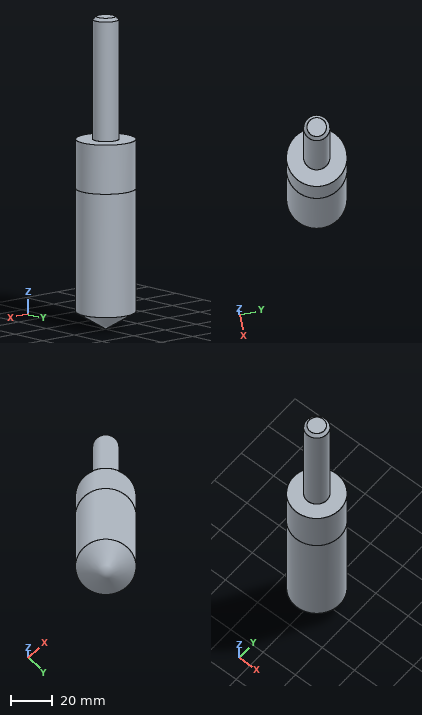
import cadquery as cq

total_length = 152.4
body_diameter = 29.0
shank_diameter = 12.6
tip_height = 8.7
joint_height = 68.7
shoulder_height = 92.7

chamfer_height = 1.5
chamfer_width = 1.7

body_radius = body_diameter / 2
shank_radius = shank_diameter / 2


def make_pointed_cylinder():
    """Lower body: a solid cylinder ending in a conical point."""
    half_profile = (
        cq.Workplane("XZ")
        .moveTo(0, 0)
        .lineTo(body_radius, tip_height)
        .lineTo(body_radius, joint_height)
        .lineTo(0, joint_height)
        .close()
    )
    return half_profile.revolve(360, (0, 0), (0, 1))


def make_shank_head():
    """Upper body: a head of the same diameter carrying a chamfered shank."""
    half_profile = (
        cq.Workplane("XZ")
        .moveTo(0, joint_height)
        .lineTo(body_radius, joint_height)
        .lineTo(body_radius, shoulder_height)
        .lineTo(shank_radius, shoulder_height)
        .lineTo(shank_radius, total_length - chamfer_height)
        .lineTo(shank_radius - chamfer_width, total_length)
        .lineTo(0, total_length)
        .close()
    )
    return half_profile.revolve(360, (0, 0), (0, 1))


pointed_cylinder = make_pointed_cylinder()
shank_head = make_shank_head()

result = cq.Compound.makeCompound([pointed_cylinder.val(), shank_head.val()])